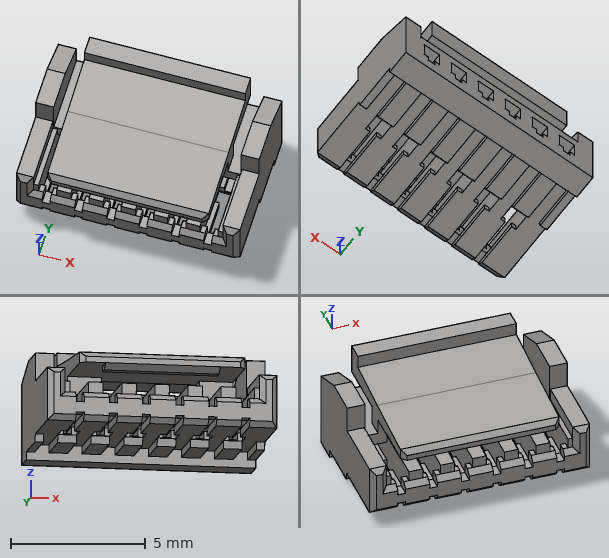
import cadquery as cq


WIDTH = 8.65
LENGTH = 5.7
HEIGHT = 4.15

CONTACT_COUNT = 6
CONTACT_ROW = 6.245
CONTACT_PITCH = CONTACT_ROW / (CONTACT_COUNT - 1)
CONTACT_X = [i * CONTACT_PITCH - CONTACT_ROW / 2 for i in range(CONTACT_COUNT)]

FLANGE_LENGTH = 1.0
RIB_BOTTOM = 0.3
BODY_BOTTOM = 0.6
LIP_TOP = 1.69
BAR_TOP = 2.09
BODY_TOP = 2.2
ARM_TOP = 2.595

FACE_CHAMFER = 0.21
ARM_WIDTH = 0.67
POST_WIDTH = 0.7
POST_FRONT = 2.72
POST_TOP = 3.65
POST_REAR_TOP = 3.045
POST_SLOPE_LENGTH = 1.48

CHANNEL_WIDTH = 0.7
LIP_LENGTH = 0.5
CAVITY_ROOF = 1.71
SLOT_WIDTH = 0.3
LIP_SLOT_BOTTOM = 1.3
GROOVE_TOP = 0.9
REAR_GROOVE_BOTTOM = 0.63
WINDOW_FRONT = 2.06

END_RIB_WIDTH = 0.31
RIB_FRONT_BOTTOM = 2.84
RIB_FRONT_TOP = 2.77

LATCH_WIDTH = 6.23
LATCH_CHAMFER = 0.2
LATCH_BOTTOM = 2.8
LATCH_REAR_BOTTOM = 2.96
LATCH_FRONT_TOP = 3.22
LATCH_BEND_Y = 2.81
LATCH_BEND_TOP = 3.425
GRIP_LENGTH = 0.7
HINGE_LENGTH = 0.7
HINGE_GAP_WIDTH = 3.7
HOOK_WIDTH = 4.325
HOOK_LENGTH = 0.7
HOOK_NOSE_LENGTH = 0.35


def block(width, y_range, z_range, x=0):
    """Box centred on x, spanning the given Y and Z ranges."""
    y0, y1 = y_range
    z0, z1 = z_range
    box = cq.Workplane("XY").box(width, y1 - y0, z1 - z0, centered=(True, False, False))
    return box.translate((x, y0, z0))


def extrude_across(points, width, x=0):
    """Close a (Y, Z) outline and extrude it along X, centred on x."""
    outline = cq.Workplane("YZ").polyline(points).close()
    return outline.extrude(width / 2, both=True).translate((x, 0, 0))


def make_front_shell():
    """U-shaped mating end: floor and two side arms, chamfered around the front face."""
    arm_inner_width = WIDTH - 2 * ARM_WIDTH
    shell = block(WIDTH, (0, POST_FRONT), (BODY_BOTTOM, ARM_TOP))
    shell = shell.cut(block(arm_inner_width, (0, POST_FRONT), (LIP_TOP, ARM_TOP)))
    shell = shell.faces("<Y").edges().chamfer(FACE_CHAMFER)
    ledge = block(arm_inner_width, (FACE_CHAMFER, POST_FRONT), (LIP_TOP, BAR_TOP))
    return shell.union(ledge)


def make_rear_body():
    """Solid rear block with its bottom flange and the two sloping side posts."""
    body = block(WIDTH, (POST_FRONT, LENGTH), (BODY_BOTTOM, BODY_TOP))
    body = body.union(block(WIDTH, (LENGTH - FLANGE_LENGTH, LENGTH), (0, BODY_BOTTOM)))
    post_outline = [
        (POST_FRONT, BODY_BOTTOM),
        (POST_FRONT, POST_TOP),
        (LENGTH - POST_SLOPE_LENGTH, POST_TOP),
        (LENGTH, POST_REAR_TOP),
        (LENGTH, BODY_BOTTOM),
    ]
    post_x = (WIDTH - POST_WIDTH) / 2
    for x in (-post_x, post_x):
        body = body.union(extrude_across(post_outline, POST_WIDTH, x))
    return body


def make_ribs():
    """Raked-front ribs under the body: one per contact and one at each end."""
    outline = [
        (RIB_FRONT_TOP, BODY_BOTTOM),
        (RIB_FRONT_BOTTOM, RIB_BOTTOM),
        (LENGTH - FLANGE_LENGTH, RIB_BOTTOM),
        (LENGTH - FLANGE_LENGTH, BODY_BOTTOM),
    ]
    end_x = (WIDTH - END_RIB_WIDTH) / 2
    ribs = extrude_across(outline, END_RIB_WIDTH, -end_x)
    ribs = ribs.union(extrude_across(outline, END_RIB_WIDTH, end_x))
    for x in CONTACT_X:
        ribs = ribs.union(extrude_across(outline, CHANNEL_WIDTH, x))
    return ribs


def make_contact_cut(x):
    """Everything removed for one contact."""
    cut = block(CHANNEL_WIDTH, (0, POST_FRONT), (LIP_TOP, BODY_TOP), x)
    cut = cut.union(block(CHANNEL_WIDTH, (LIP_LENGTH, LENGTH), (GROOVE_TOP, CAVITY_ROOF), x))
    cut = cut.union(block(SLOT_WIDTH, (0, POST_FRONT), (BODY_BOTTOM, GROOVE_TOP), x))
    cut = cut.union(block(SLOT_WIDTH, (POST_FRONT, LENGTH), (REAR_GROOVE_BOTTOM, GROOVE_TOP), x))
    cut = cut.union(block(SLOT_WIDTH, (0, LIP_LENGTH), (LIP_SLOT_BOTTOM, LIP_TOP), x))
    return cut.union(block(CHANNEL_WIDTH, (WINDOW_FRONT, POST_FRONT), (BODY_BOTTOM, LIP_TOP), x))


def make_latch():
    """Rocking latch plate with rear grip and front hook, carried on two hinge legs."""
    plate_outline = [
        (0, LATCH_BOTTOM),
        (0, LATCH_FRONT_TOP - LATCH_CHAMFER),
        (LATCH_CHAMFER, LATCH_FRONT_TOP),
        (LATCH_BEND_Y, LATCH_BEND_TOP),
        (LENGTH - GRIP_LENGTH, POST_TOP),
        (LENGTH - GRIP_LENGTH, HEIGHT),
        (LENGTH, HEIGHT),
        (LENGTH, LATCH_REAR_BOTTOM),
        (POST_FRONT + HINGE_LENGTH, LATCH_REAR_BOTTOM),
        (POST_FRONT + HINGE_LENGTH, LATCH_BOTTOM),
    ]
    plate = extrude_across(plate_outline, LATCH_WIDTH)
    plate = plate.faces("<Y").edges("|Z").chamfer(LATCH_CHAMFER)

    hook_outline = [
        (0, LATCH_BOTTOM),
        (HOOK_NOSE_LENGTH, ARM_TOP),
        (HOOK_LENGTH, ARM_TOP),
        (HOOK_LENGTH, LATCH_BOTTOM),
    ]
    latch = plate.union(extrude_across(hook_outline, HOOK_WIDTH))

    hinge_y = (POST_FRONT, POST_FRONT + HINGE_LENGTH)
    hinge = block(LATCH_WIDTH, hinge_y, (BODY_TOP, LATCH_BOTTOM))
    hinge = hinge.cut(block(HINGE_GAP_WIDTH, hinge_y, (BODY_TOP, LATCH_BOTTOM)))
    return latch.union(hinge)


housing = make_front_shell().union(make_rear_body()).union(make_ribs())
for contact_x in CONTACT_X:
    housing = housing.cut(make_contact_cut(contact_x))
result = housing.union(make_latch())